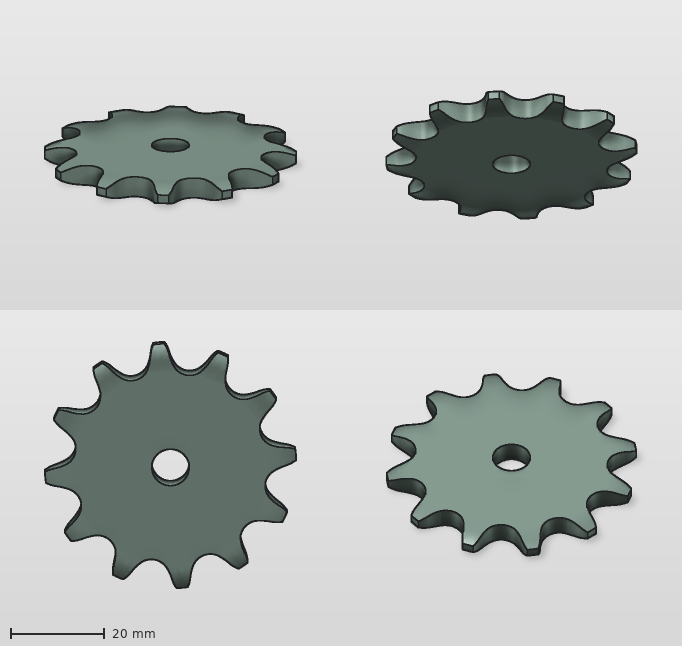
import cadquery as cq
import math

tooth_count = 12
overall_size = 52.6
thickness = 4.5
bore_diameter = 8.0
face_radius = 21.25
tip_thickness = 1.85
chain_pitch = 12.7
roller_diameter = 7.8
cut_margin = 2.65

working_offset_ratio = 0.8
topping_offset_ratio = 1.4
seating_angle_base = 35
seating_angle_per_tooth = 60
working_sweep_base = 18
working_sweep_per_tooth = 56

half_size = overall_size / 2
half_thickness = thickness / 2
seating_radius = roller_diameter / 2
half_pitch_angle = math.radians(180 / tooth_count)
pitch_radius = chain_pitch / 2 / math.sin(half_pitch_angle)

seating_angle = math.radians(seating_angle_base + seating_angle_per_tooth / tooth_count)
working_sweep = math.radians(working_sweep_base - working_sweep_per_tooth / tooth_count)
flat_angle = seating_angle - working_sweep

working_offset = working_offset_ratio * roller_diameter
working_radius = working_offset + seating_radius
working_center = (
    -working_offset * math.cos(seating_angle),
    pitch_radius + working_offset * math.sin(seating_angle),
)
topping_offset = topping_offset_ratio * roller_diameter
topping_center = (
    topping_offset * math.cos(half_pitch_angle),
    pitch_radius - topping_offset * math.sin(half_pitch_angle),
)

topping_radius = (
    (topping_center[0] - working_center[0]) * math.cos(flat_angle)
    - (topping_center[1] - working_center[1]) * math.sin(flat_angle)
    - working_radius
)

tip_rise = math.asin((half_size - topping_center[1]) / topping_radius)
tip_corner_x = topping_center[0] - topping_radius * math.cos(tip_rise)
tip_radius = math.hypot(tip_corner_x, half_size)


def on_circle(center, radius, angle):
    """Point on a circle at an angle in radians from +X."""
    return (center[0] + radius * math.cos(angle), center[1] + radius * math.sin(angle))


def mirrored(point):
    """Matching point on the -X flank of the tooth space."""
    return (-point[0], point[1])


def make_blank():
    """Disc whose rim thins toward the tooth tips along arcs tangent to the flat faces."""
    half_tip = tip_thickness / 2
    rim_width = tip_radius - face_radius
    rim_drop = half_thickness - half_tip
    rim_arc_radius = (rim_width**2 + rim_drop**2) / (2 * rim_drop)
    half_sweep = math.asin(rim_width / rim_arc_radius) / 2
    rim_mid_radius = face_radius + rim_arc_radius * math.sin(half_sweep)
    rim_mid_height = half_thickness - rim_arc_radius * (1 - math.cos(half_sweep))
    return (
        cq.Workplane("XZ")
        .moveTo(0, -half_thickness)
        .lineTo(face_radius, -half_thickness)
        .threePointArc((rim_mid_radius, -rim_mid_height), (tip_radius, -half_tip))
        .lineTo(tip_radius, half_tip)
        .threePointArc((rim_mid_radius, rim_mid_height), (face_radius, half_thickness))
        .lineTo(0, half_thickness)
        .close()
        .revolve(360, (0, 0), (0, 1))
    )


def make_tooth_space():
    """Cutter for the tooth space centred on +Y, open past the tooth tips."""
    seating_bottom = (0, pitch_radius - seating_radius)
    seating_end = on_circle((0, pitch_radius), seating_radius, -seating_angle)
    working_mid = on_circle(working_center, working_radius, working_sweep / 2 - seating_angle)
    working_end = on_circle(working_center, working_radius, -flat_angle)
    flat_end = on_circle(topping_center, topping_radius, math.pi - flat_angle)
    topping_mid = on_circle(topping_center, topping_radius, math.pi - (flat_angle + tip_rise) / 2)
    tip_corner = (tip_corner_x, half_size)
    outer_corner = (tip_corner_x, half_size + cut_margin)
    return (
        cq.Workplane("XY")
        .workplane(offset=-half_thickness)
        .moveTo(*mirrored(seating_end))
        .threePointArc(seating_bottom, seating_end)
        .threePointArc(working_mid, working_end)
        .lineTo(*flat_end)
        .threePointArc(topping_mid, tip_corner)
        .lineTo(*outer_corner)
        .lineTo(*mirrored(outer_corner))
        .lineTo(*mirrored(tip_corner))
        .threePointArc(mirrored(topping_mid), mirrored(flat_end))
        .lineTo(*mirrored(working_end))
        .threePointArc(mirrored(working_mid), mirrored(seating_end))
        .close()
        .extrude(thickness)
    )


sprocket = make_blank()
tooth_space = make_tooth_space()
for index in range(tooth_count):
    sprocket = sprocket.cut(tooth_space.rotate((0, 0, 0), (0, 0, 1), index * 360 / tooth_count))

result = sprocket.faces(">Z").workplane(origin=(0, 0, 0)).hole(bore_diameter)